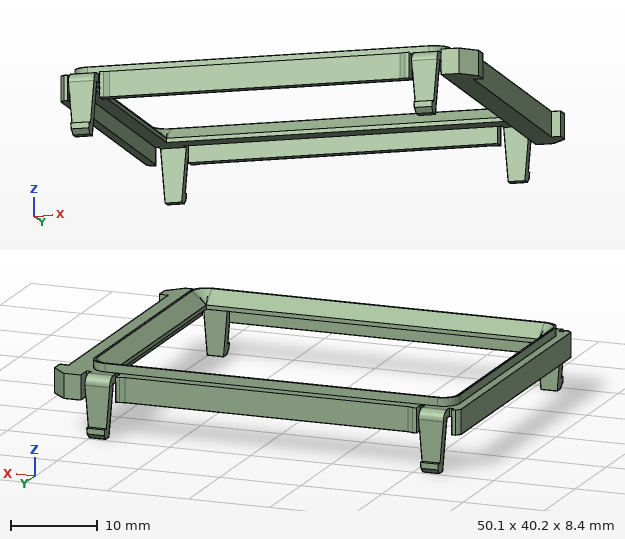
import cadquery as cq
import math

wall_height = 3.0
plate_thickness = 1.0
plate_underside = wall_height - plate_thickness

inner_left = 0.95
hollow_left = 1.1
inner_right = 46.15
inner_half_width = 17.7

corner_half_width = 18.25
corner_chamfer = 0.5
rail_half_width = 18.8
ear_half_width = 19.0
ear_flat = 0.45
ear_ramp = 0.65
right_face = 49.0
block_half_width = 19.6
block_end = 50.1
block_chamfer = 1.85
block_inner_half_width = 16.05

lip_height = 1.0
lip_top = wall_height + lip_height
lip_length = 45.0
lip_width = 34.65
lip_radius = 2.0
lip_wall = 0.25
lip_center_x = (inner_left + inner_right) / 2

funnel_inset = lip_radius - lip_wall
funnel_depth = 1.5
funnel_foot = lip_top - funnel_depth
opening_length = lip_length - 2 * lip_radius
opening_width = lip_width - 2 * lip_radius

clip_width = 3.05
clip_gap = 0.5
clip_notch = clip_width + 2 * clip_gap
clip_centers = (inner_left + clip_notch / 2, inner_right - clip_notch / 2)
arm_thickness = 1.15
bend_radius = 1.15
arm_outer = block_half_width
arm_inner = arm_outer - arm_thickness
arm_bottom = -4.4
hook_span = 40.25
hook_tip = hook_span / 2
hook_top = -3.1
hook_chamfer = 0.6
clip_foot_width = 2.0
root_overlap = 0.25
clip_root = inner_half_width - root_overlap


def perimeter_outline():
    """Points of the +Y half of the outer outline, from the left face to the right face."""
    rail_start = clip_centers[0] + clip_notch / 2
    rail_end = clip_centers[1] - clip_notch / 2
    ear = ear_flat + ear_ramp
    return [
        (0, corner_half_width - corner_chamfer),
        (corner_chamfer, corner_half_width),
        (inner_left, corner_half_width),
        (inner_left, inner_half_width),
        (rail_start, inner_half_width),
        (rail_start, ear_half_width),
        (rail_start + ear_flat, ear_half_width),
        (rail_start + ear, rail_half_width),
        (rail_end - ear, rail_half_width),
        (rail_end - ear_flat, ear_half_width),
        (rail_end, ear_half_width),
        (rail_end, inner_half_width),
        (inner_right, inner_half_width),
        (inner_right, block_half_width),
        (block_end - block_chamfer, block_half_width),
        (block_end, block_half_width - block_chamfer),
        (block_end, block_inner_half_width),
        (right_face, block_inner_half_width),
    ]


def base_frame():
    """Perimeter wall closed on top by the plate and hollow underneath."""
    half = perimeter_outline()
    mirrored_half = [(x, -y) for x, y in reversed(half)]
    body = cq.Workplane("XY").polyline(half + mirrored_half).close().extrude(wall_height)
    hollow = (
        cq.Workplane("XY")
        .center((hollow_left + inner_right) / 2, 0)
        .rect(inner_right - hollow_left, 2 * inner_half_width)
        .extrude(plate_underside)
    )
    return body.cut(hollow)


def lip():
    """Rounded rectangular block that the opening turns into a thin raised rim."""
    return (
        cq.Workplane("XY", origin=(lip_center_x, 0, plate_underside))
        .rect(lip_length, lip_width)
        .extrude(lip_top - plate_underside)
        .edges("|Z")
        .fillet(lip_radius)
    )


def funnel_corner(x, y):
    """Upright cone standing on its tip at a corner of the opening."""
    tip = cq.Vector(x, y, funnel_foot)
    cone = cq.Solid.makeCone(0, funnel_inset, funnel_depth, tip, cq.Vector(0, 0, 1))
    return cq.Workplane(obj=cone)


def funnel_channel(plane, run, across, center):
    """Straight stretch of the funnel: a trapezoid that widens upward, extruded along the run."""
    return (
        cq.Workplane(plane, origin=center)
        .polyline([
            (-across / 2, funnel_foot),
            (across / 2, funnel_foot),
            (across / 2 + funnel_inset, lip_top),
            (-across / 2 - funnel_inset, lip_top),
        ])
        .close()
        .extrude(run / 2, both=True)
    )


def opening():
    """Straight shaft widened by four sloping sides and four conical corners."""
    center = (lip_center_x, 0, 0)
    shaft = cq.Workplane("XY", origin=center).rect(opening_length, opening_width).extrude(lip_top)
    cutter = shaft.union(funnel_channel("XZ", opening_width, opening_length, center))
    cutter = cutter.union(funnel_channel("YZ", opening_length, opening_width, center))
    for x_side in (-1, 1):
        for y_side in (-1, 1):
            x = lip_center_x + x_side * opening_length / 2
            cutter = cutter.union(funnel_corner(x, y_side * opening_width / 2))
    return cutter


def clip(center_x):
    """Clip on the +Y side: a bent arm with an outward hook, narrowing below the bend."""
    bend_bottom = wall_height - bend_radius
    bend_start = arm_outer - bend_radius
    bend_mid = bend_radius * math.sin(math.radians(45))
    side_profile = (
        cq.Workplane("YZ", origin=(center_x, 0, 0))
        .moveTo(clip_root, wall_height)
        .lineTo(bend_start, wall_height)
        .threePointArc((bend_start + bend_mid, bend_bottom + bend_mid), (arm_outer, bend_bottom))
        .lineTo(arm_outer, hook_top)
        .lineTo(hook_tip, hook_top)
        .lineTo(hook_tip, arm_bottom + hook_chamfer)
        .lineTo(hook_tip - hook_chamfer, arm_bottom)
        .lineTo(arm_inner, arm_bottom)
        .lineTo(arm_inner, plate_underside)
        .lineTo(clip_root, plate_underside)
        .close()
        .extrude(clip_width / 2, both=True)
    )
    half_top = clip_width / 2
    half_bottom = clip_foot_width / 2
    front_profile = (
        cq.Workplane("XZ", origin=(center_x, 0, 0))
        .polyline([
            (-half_top, wall_height),
            (half_top, wall_height),
            (half_top, bend_bottom),
            (half_bottom, arm_bottom),
            (-half_bottom, arm_bottom),
            (-half_top, bend_bottom),
        ])
        .close()
        .extrude(-hook_tip)
    )
    return side_profile.intersect(front_profile)


result = base_frame().union(lip()).cut(opening())
for clip_center in clip_centers:
    arm = clip(clip_center)
    result = result.union(arm).union(arm.mirror("XZ"))